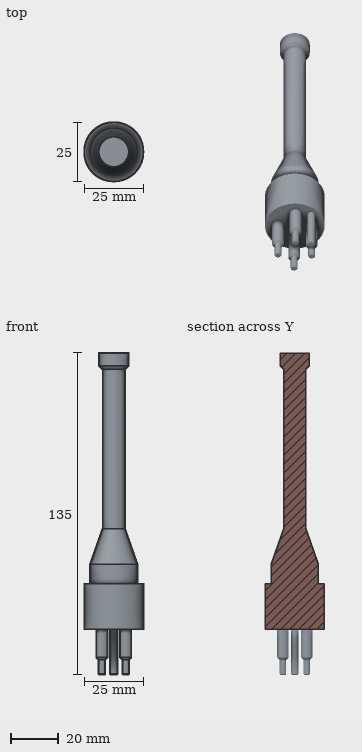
import cadquery as cq

total_height = 135.0
base_bottom = 19.0
base_top = 38.2
collar_top = 46.3
cone_top = 61.3
head_height = 5.4

base_diameter = 25.0
collar_diameter = 20.0
stem_diameter = 9.5
head_diameter = 12.5

pin_spacing = 10.0
pin_diameter = 4.9
pin_tip_diameter = 2.8
pin_shoulder_height = 7.3

locator_offset = 9.3
locator_diameter = 3.2

tip_chamfer = 0.4


def turned_body():
    """Base, collar, cone, stem and head revolved about Z."""
    base_radius = base_diameter / 2
    collar_radius = collar_diameter / 2
    stem_radius = stem_diameter / 2
    head_radius = head_diameter / 2
    head_bottom = total_height - head_height
    stem_top = head_bottom - (head_radius - stem_radius)
    profile = [
        (0, base_bottom),
        (base_radius, base_bottom),
        (base_radius, base_top),
        (collar_radius, base_top),
        (collar_radius, collar_top),
        (stem_radius, cone_top),
        (stem_radius, stem_top),
        (head_radius, head_bottom),
        (head_radius, total_height),
        (0, total_height),
    ]
    return cq.Workplane("XZ").polyline(profile).close().revolve(360, (0, 0), (0, 1))


def contact_pin(x, y):
    """Stepped pin with a 45 degree shoulder and a chamfered tip."""
    radius = pin_diameter / 2
    tip_radius = pin_tip_diameter / 2
    profile = [
        (0, 0),
        (tip_radius - tip_chamfer, 0),
        (tip_radius, tip_chamfer),
        (tip_radius, pin_shoulder_height - (radius - tip_radius)),
        (radius, pin_shoulder_height),
        (radius, base_bottom),
        (0, base_bottom),
    ]
    pin = cq.Workplane("XZ").polyline(profile).close().revolve(360, (0, 0), (0, 1))
    return pin.translate((x, y, 0))


def locating_pin():
    """Straight pin with a chamfered tip."""
    pin = cq.Workplane("XY").center(0, locator_offset).circle(locator_diameter / 2).extrude(base_bottom)
    return pin.faces("<Z").chamfer(tip_chamfer)


result = turned_body().union(locating_pin())
for x_side in (-1, 1):
    for y_side in (-1, 1):
        result = result.union(contact_pin(x_side * pin_spacing / 2, y_side * pin_spacing / 2))